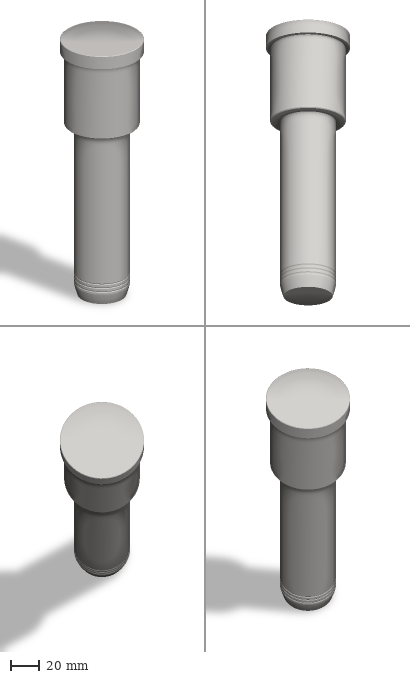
import cadquery as cq

total_length = 201.0
head_radius = 60.0 / 2
head_height = 10.0
collar_radius = 54.0 / 2
collar_length = 56.7
shank_radius = 40.0 / 2

head_chamfer = 0.5
collar_chamfer = 0.6

relief_depth = 0.3
relief_width = 1.0

groove_count = 3
groove_pitch = 3.0
groove_width = 1.2
groove_depth = 0.5
lowest_groove_height = 10.5

lead_in_height = 8.5
lead_in_mid_radius = 38.0 / 2
tip_radius = 35.2 / 2

head_bottom = total_length - head_height
collar_bottom = head_bottom - collar_length


def make_shank():
    """Shank with a barrel-shaped lead-in that narrows to a flat tip."""
    return (
        cq.Workplane("XZ")
        .lineTo(tip_radius, 0)
        .threePointArc((lead_in_mid_radius, lead_in_height / 2), (shank_radius, lead_in_height))
        .lineTo(shank_radius, collar_bottom)
        .lineTo(0, collar_bottom)
        .close()
        .revolve(360, (0, 0, 0), (0, 1, 0))
    )


def make_collar():
    """Collar with a chamfered lower edge and a shallow relief below the head."""
    relief_radius = collar_radius - relief_depth
    return (
        cq.Workplane("XZ")
        .moveTo(0, collar_bottom)
        .lineTo(collar_radius - collar_chamfer, collar_bottom)
        .lineTo(collar_radius, collar_bottom + collar_chamfer)
        .lineTo(collar_radius, head_bottom - relief_width)
        .lineTo(relief_radius, head_bottom - relief_width + relief_depth)
        .lineTo(relief_radius, head_bottom)
        .lineTo(0, head_bottom)
        .close()
        .revolve(360, (0, 0, 0), (0, 1, 0))
    )


def make_head():
    """Disc head with a chamfered top edge."""
    head = cq.Workplane("XY", origin=(0, 0, head_bottom)).circle(head_radius).extrude(head_height)
    return head.faces(">Z").edges().chamfer(head_chamfer)


def make_groove(height):
    """Ring-shaped cutter for one V-groove centred at the given height."""
    return (
        cq.Workplane("XZ")
        .moveTo(shank_radius, height - groove_width / 2)
        .lineTo(shank_radius - groove_depth, height)
        .lineTo(shank_radius, height + groove_width / 2)
        .close()
        .revolve(360, (0, 0, 0), (0, 1, 0))
    )


result = make_shank().union(make_collar()).union(make_head())
for index in range(groove_count):
    result = result.cut(make_groove(lowest_groove_height + index * groove_pitch))